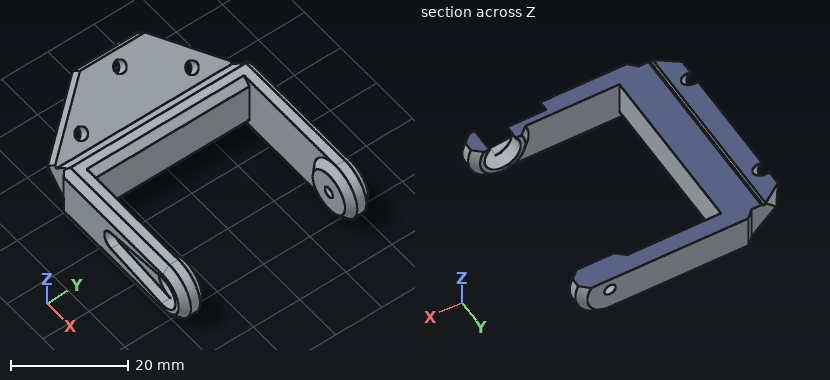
import cadquery as cq
import math

arm_height = 12.0
arm_radius = arm_height / 2
total_width = 41.0
arm_thickness = 3.5
edge_chamfer = 1.5
wall_outer_x = -29.0
wall_top_thickness = 3.5
half_width = total_width / 2
inner_half_width = half_width - arm_thickness

boss_height = 1.5
pivot_hole_diameter = 2.2

horn_hub_radius = 3.6
horn_tip_radius = 2.1
horn_length = 14.1
horn_depth = 2.0

plate_angle = 45
plate_thickness = 3.0
plate_length = 12.5
plate_tip_width = 14.05
plate_straight_length = 0.6
plate_base_width = total_width - 2 * edge_chamfer
plate_hole_diameter = 2.5
side_hole_distance = 3.0
middle_hole_distance = 9.55
side_hole_offset = 12.0

wedge_base_x = wall_outer_x + edge_chamfer
wedge_apex_x = wedge_base_x - arm_radius


def cylinder_along_y(radius, y_start, length):
    plane = cq.Plane(origin=(0, y_start, 0), xDir=(1, 0, 0), normal=(0, 1, 0))
    return cq.Workplane(plane).circle(radius).extrude(length)


def side_outline():
    """Arm outline with a rounded +X end, starting at the pivot end."""
    return (
        cq.Workplane("XZ", origin=(0, half_width, 0))
        .moveTo(0, -arm_radius)
        .threePointArc((arm_radius, 0), (0, arm_radius))
    )


def make_frame():
    """Solid block with mitered chamfers on the outside edges of its -X and Y faces."""
    block = (
        side_outline()
        .lineTo(wall_outer_x, arm_radius)
        .lineTo(wall_outer_x, -arm_radius)
        .close()
        .extrude(total_width)
        .faces("<Y or >Y")
        .edges()
        .chamfer(edge_chamfer)
    )
    wall_bevel = (
        side_outline()
        .lineTo(wedge_base_x, arm_radius)
        .lineTo(wall_outer_x, arm_radius - edge_chamfer)
        .lineTo(wall_outer_x, edge_chamfer - arm_radius)
        .lineTo(wedge_base_x, -arm_radius)
        .close()
        .extrude(total_width)
    )
    return block.intersect(wall_bevel)


def make_opening():
    """Space between the arms; the wall's inner face is beveled at top and bottom."""
    edge_x = wall_outer_x + wall_top_thickness
    face_x = edge_x + edge_chamfer
    bevel_z = arm_radius - edge_chamfer
    profile = [
        (edge_x, arm_radius),
        (face_x, bevel_z),
        (face_x, -bevel_z),
        (edge_x, -arm_radius),
        (arm_radius, -arm_radius),
        (arm_radius, arm_radius),
    ]
    return (
        cq.Workplane("XZ", origin=(0, inner_half_width, 0))
        .polyline(profile)
        .close()
        .extrude(2 * inner_half_width)
    )


def make_boss(side):
    """Conical pad on the inside of one arm; side is -1 or 1 along Y."""
    base_y = side * inner_half_width
    return cq.Workplane(
        cq.Solid.makeCone(
            arm_radius,
            arm_radius - boss_height,
            boss_height,
            pnt=cq.Vector(0, base_y, 0),
            dir=cq.Vector(0, -side, 0),
        )
    )


def make_wedge():
    """Triangular web that joins the wall to the mounting plate."""
    return (
        cq.Workplane("XZ", origin=(0, plate_base_width / 2, 0))
        .polyline([
            (wedge_base_x, arm_radius),
            (wedge_apex_x, 0),
            (wedge_base_x, -arm_radius),
        ])
        .close()
        .extrude(plate_base_width)
    )


def make_plate():
    """Tapered plate with three holes; local x runs up the slope from the wedge apex."""
    angle = math.radians(plate_angle)
    slope = cq.Plane(
        origin=(wedge_apex_x, 0, 0),
        xDir=(-math.cos(angle), 0, math.sin(angle)),
        normal=(math.sin(angle), 0, math.cos(angle)),
    )
    half_base = plate_base_width / 2
    half_tip = plate_tip_width / 2
    plate = (
        cq.Workplane(slope)
        .polyline([
            (0, -half_base),
            (plate_straight_length, -half_base),
            (plate_length, -half_tip),
            (plate_length, half_tip),
            (plate_straight_length, half_base),
            (0, half_base),
        ])
        .close()
        .extrude(plate_thickness)
    )
    holes = (
        cq.Workplane(slope)
        .pushPoints([
            (side_hole_distance, -side_hole_offset),
            (middle_hole_distance, 0),
            (side_hole_distance, side_hole_offset),
        ])
        .circle(plate_hole_diameter / 2)
        .extrude(plate_thickness)
    )
    return plate.cut(holes)


def make_horn_recess():
    """Pocket bounded by two arcs and their common tangent lines."""
    tangent_cos = (horn_hub_radius - horn_tip_radius) / horn_length
    tangent_sin = math.sqrt(1 - tangent_cos**2)
    hub_x = -horn_hub_radius * tangent_cos
    hub_z = horn_hub_radius * tangent_sin
    tip_x = -horn_length - horn_tip_radius * tangent_cos
    tip_z = horn_tip_radius * tangent_sin
    return (
        cq.Workplane("XZ", origin=(0, horn_depth - half_width, 0))
        .moveTo(hub_x, hub_z)
        .lineTo(tip_x, tip_z)
        .threePointArc((-horn_length - horn_tip_radius, 0), (tip_x, -tip_z))
        .lineTo(hub_x, -hub_z)
        .threePointArc((horn_hub_radius, 0), (hub_x, hub_z))
        .close()
        .extrude(horn_depth)
    )


hub_hole = cylinder_along_y(horn_hub_radius, -half_width, half_width)
pivot_hole = cylinder_along_y(pivot_hole_diameter / 2, 0, half_width)

result = (
    make_frame()
    .cut(make_opening())
    .union(make_boss(-1))
    .union(make_boss(1))
    .union(make_wedge())
    .union(make_plate())
    .cut(make_horn_recess())
    .cut(hub_hole)
    .cut(pivot_hole)
)